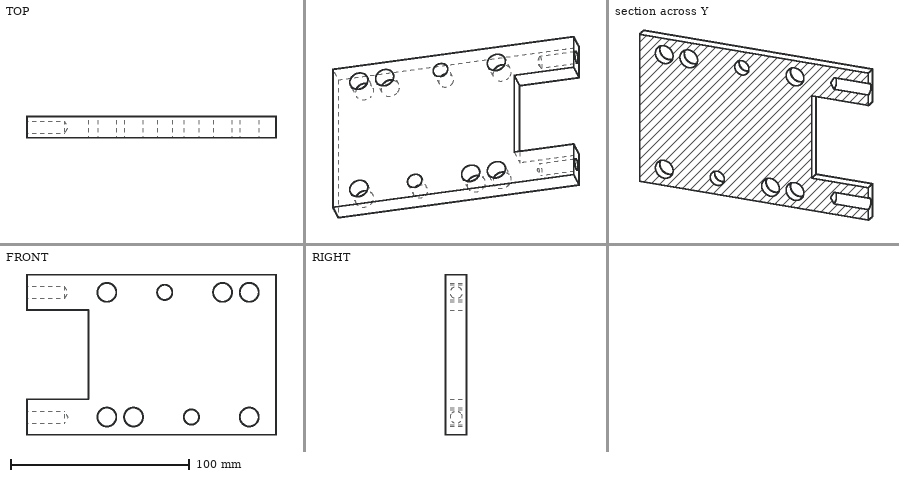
import cadquery as cq
import math

length = 140.0
thickness = 12.0
height = 90.0
notch_depth = 34.6
notch_height = 50.0

row_spacing = 70.0
first_hole_x = 45.0
row_length = 80.0
pair_spacing = 15.0
large_diameter = 10.5
small_diameter = 8.4

end_hole_diameter = 6.7
end_hole_depth = 21.0
drill_point_angle = 118.0

last_hole_x = first_hole_x + row_length
wide_gap = row_length - pair_spacing
row_z = row_spacing / 2


def make_plate():
    plate = cq.Workplane("XY").box(length, thickness, height, centered=(False, True, True))
    notch = cq.Workplane("XY").box(
        notch_depth, thickness, notch_height, centered=(False, True, True)
    )
    return plate.cut(notch)


def through_holes(points, diameter):
    return (
        cq.Workplane("XZ")
        .pushPoints(points)
        .circle(diameter / 2)
        .extrude(thickness / 2, both=True)
    )


def end_hole(z):
    """Drilled hole along +X with a conical bottom, revolved about its own axis."""
    radius = end_hole_diameter / 2
    tip_length = radius / math.tan(math.radians(drill_point_angle / 2))
    return (
        cq.Workplane("XZ", origin=(0, 0, z))
        .moveTo(0, 0)
        .lineTo(0, radius)
        .lineTo(end_hole_depth, radius)
        .lineTo(end_hole_depth + tip_length, 0)
        .close()
        .revolve(360, (0, 0), (1, 0))
    )


large_points = [
    (first_hole_x, row_z),
    (first_hole_x + wide_gap, row_z),
    (last_hole_x, row_z),
    (first_hole_x, -row_z),
    (first_hole_x + pair_spacing, -row_z),
    (last_hole_x, -row_z),
]
small_points = [
    (first_hole_x + wide_gap / 2, row_z),
    (last_hole_x - wide_gap / 2, -row_z),
]

result = make_plate()
result = result.cut(through_holes(large_points, large_diameter))
result = result.cut(through_holes(small_points, small_diameter))
for arm_z in (row_z, -row_z):
    result = result.cut(end_hole(arm_z))